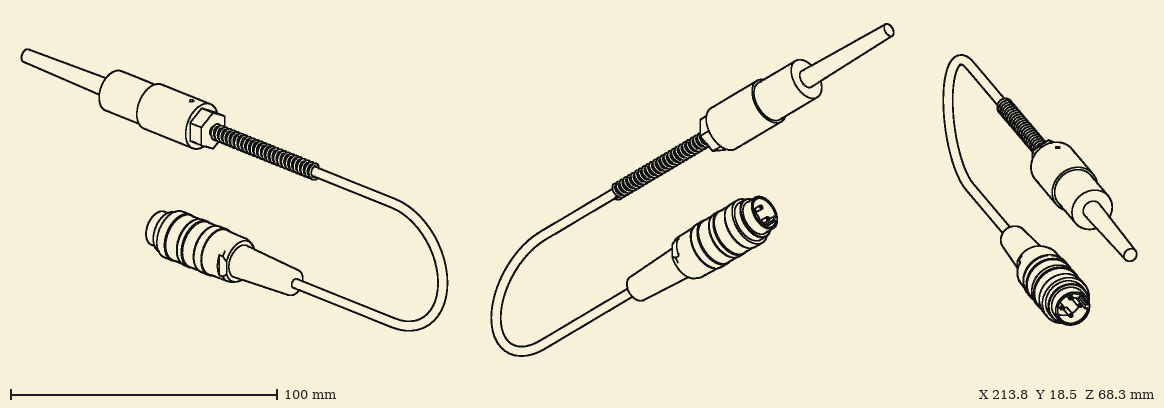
import cadquery as cq
import math

AXIS_SPACING = 50.0
PROBE_Z = AXIS_SPACING / 2
PLUG_Z = -AXIS_SPACING / 2
OVERALL_LENGTH = 213.8

TIP_FRONT_DIA = 5.1
TIP_REAR_DIA = 7.0
TIP_LENGTH = 44.5

GRIP_DIA = 16.0
GRIP_LENGTH = 20.0
BARREL_DIA = 18.0
BARREL_LENGTH = 24.8
SCREW_HOLE_DIA = 1.5
SCREW_HOLE_DEPTH = 3.2
SCREW_HOLE_TO_BARREL_END = 5.1

NUT_ACROSS_FLATS = 13.0
NUT_LENGTH = 5.8

CABLE_DIA = 3.6

WIRE_DIA = 1.0
SPRING_OUTER_DIA = 6.2
SPRING_PITCH = 1.99
SPRING_TURNS = 26

PLUG_START = 67.1
NOSE_DIA = 13.5
NOSE_BORE_DIA = 12.0
NOSE_BORE_DEPTH = 7.7
NOSE_LENGTH = 4.7
CORE_DIA = 16.0
CORE_LIP_LENGTH = 3.2
CORE_LIP_CHAMFER = 0.2
COLLAR_FRONT_DIA = 18.0
COLLAR_REAR_DIA = 17.5
COLLAR_LENGTH = 11.5
COLLAR_CHAMFER_LENGTH = 2.0
COLLAR_CHAMFER_HEIGHT = 0.6
FLAT_SPACING = 15.5
FLAT_LENGTH = 3.6

PIN_COUNT = 4
PIN_DIA = 1.5
PIN_TIP_CHAMFER = 0.32
PIN_CIRCLE_DIA = 7.0
PIN_RECESS = 1.5

KEY_WIDTH = 1.5
KEY_HEIGHT = 1.0

RING_DIA = 18.5
RING_LENGTH = 22.5
BAND_WIDTH = 6.5
BAND_TAPER = 0.5
BAND_DEPTH = 0.2
BAND_OFFSETS = (3.8, 12.5)

BOOT_FRONT_DIA = 12.8
BOOT_REAR_DIA = 10.0
BOOT_LENGTH = 27.8
BOOT_FILLET = 1.0

barrel_start = TIP_LENGTH + GRIP_LENGTH
barrel_end = barrel_start + BARREL_LENGTH
nut_end = barrel_end + NUT_LENGTH
bend_radius = AXIS_SPACING / 2
bend_start = OVERALL_LENGTH - bend_radius - CABLE_DIA / 2
core_start = PLUG_START + NOSE_LENGTH
ring_start = core_start + CORE_LIP_LENGTH
ring_end = ring_start + RING_LENGTH
collar_end = ring_end + COLLAR_LENGTH
boot_end = collar_end + BOOT_LENGTH


def rod(start, length, diameter, z):
    """Solid cylinder along +X."""
    return cq.Workplane("YZ", origin=(start, 0, z)).circle(diameter / 2).extrude(length)


def turned(profile, z):
    """Solid of revolution about an X axis at height z, from (x, radius) points."""
    return (
        cq.Workplane("XZ", origin=(0, 0, z))
        .polyline(profile)
        .close()
        .revolve(360, (0, 0, 0), (1, 0, 0))
    )


def make_tip():
    return turned(
        [(0, 0), (0, TIP_FRONT_DIA / 2), (TIP_LENGTH, TIP_REAR_DIA / 2), (TIP_LENGTH, 0)],
        PROBE_Z,
    )


def make_housing():
    grip = rod(TIP_LENGTH, GRIP_LENGTH, GRIP_DIA, PROBE_Z)
    barrel = rod(barrel_start, BARREL_LENGTH, BARREL_DIA, PROBE_Z)
    screw_hole = (
        cq.Workplane("XY", origin=(barrel_end - SCREW_HOLE_TO_BARREL_END, 0, PROBE_Z + BARREL_DIA / 2))
        .circle(SCREW_HOLE_DIA / 2)
        .extrude(-SCREW_HOLE_DEPTH)
    )
    return grip.union(barrel).cut(screw_hole)


def make_nut():
    across_corners = NUT_ACROSS_FLATS / math.cos(math.pi / 6)
    return (
        cq.Workplane("YZ", origin=(barrel_end, 0, PROBE_Z))
        .transformed(rotate=(0, 0, 90))
        .polygon(6, across_corners)
        .extrude(NUT_LENGTH)
    )


def make_spring():
    coil_radius = (SPRING_OUTER_DIA - WIRE_DIA) / 2
    coil_start = nut_end + WIRE_DIA / 2
    helix = cq.Wire.makeHelix(SPRING_PITCH, SPRING_PITCH * SPRING_TURNS, coil_radius)
    return (
        cq.Workplane("XZ", origin=(coil_radius, 0, 0))
        .circle(WIRE_DIA / 2)
        .sweep(cq.Workplane(obj=helix), isFrenet=True)
        .rotate((0, 0, 0), (0, 1, 0), 90)
        .translate((coil_start, 0, PROBE_Z))
    )


def make_cable():
    path = (
        cq.Workplane("XZ")
        .moveTo(nut_end, PROBE_Z)
        .lineTo(bend_start, PROBE_Z)
        .threePointArc((bend_start + bend_radius, 0), (bend_start, PLUG_Z))
        .lineTo(boot_end, PLUG_Z)
    )
    return cq.Workplane("YZ", origin=(nut_end, 0, PROBE_Z)).circle(CABLE_DIA / 2).sweep(path)


def make_pin(angle):
    """Contact pin with a chamfered tip, rising from the floor of the nose bore."""
    pin = rod(PLUG_START + PIN_RECESS, NOSE_BORE_DEPTH - PIN_RECESS, PIN_DIA, PLUG_Z)
    pin = pin.faces("<X").chamfer(PIN_TIP_CHAMFER)
    pin_circle_radius = PIN_CIRCLE_DIA / 2
    return pin.translate((0, pin_circle_radius * math.cos(angle), pin_circle_radius * math.sin(angle)))


def make_bore_key():
    """Straight key reaching from the nose wall into the bore."""
    wall_radius = (NOSE_DIA + NOSE_BORE_DIA) / 4
    key_tip_radius = NOSE_BORE_DIA / 2 - KEY_HEIGHT
    return (
        cq.Workplane("XY")
        .box(NOSE_BORE_DEPTH, wall_radius - key_tip_radius, KEY_WIDTH, centered=(False, False, True))
        .translate((PLUG_START, -wall_radius, PLUG_Z))
    )


def make_plug_shell():
    shell = turned(
        [
            (PLUG_START, 0),
            (PLUG_START, NOSE_DIA / 2),
            (core_start, NOSE_DIA / 2),
            (core_start, CORE_DIA / 2 - CORE_LIP_CHAMFER),
            (core_start + CORE_LIP_CHAMFER, CORE_DIA / 2),
            (ring_end, CORE_DIA / 2),
            (ring_end, COLLAR_FRONT_DIA / 2),
            (collar_end - COLLAR_CHAMFER_LENGTH, COLLAR_REAR_DIA / 2),
            (collar_end, COLLAR_REAR_DIA / 2 - COLLAR_CHAMFER_HEIGHT),
            (collar_end, 0),
        ],
        PLUG_Z,
    )
    shell = shell.cut(rod(PLUG_START, NOSE_BORE_DEPTH, NOSE_BORE_DIA, PLUG_Z))
    shell = shell.union(make_bore_key())
    for index in range(PIN_COUNT):
        shell = shell.union(make_pin(2 * math.pi * index / PIN_COUNT))
    for side in (-1, 1):
        flat_cut = cq.Workplane("XY").box(FLAT_LENGTH, RING_DIA, RING_DIA).translate(
            (collar_end - FLAT_LENGTH / 2, side * (FLAT_SPACING + RING_DIA) / 2, PLUG_Z)
        )
        shell = shell.cut(flat_cut)
    return shell


def make_coupling_ring():
    """Sleeve around the plug core with shallow recessed bands that have tapered ends."""
    profile = [(ring_start, CORE_DIA / 2), (ring_start, RING_DIA / 2)]
    band_radius = RING_DIA / 2 - BAND_DEPTH
    for offset in BAND_OFFSETS:
        band_start = ring_start + offset
        band_end = band_start + BAND_WIDTH
        profile += [
            (band_start, RING_DIA / 2),
            (band_start + BAND_TAPER, band_radius),
            (band_end - BAND_TAPER, band_radius),
            (band_end, RING_DIA / 2),
        ]
    profile += [(ring_end, RING_DIA / 2), (ring_end, CORE_DIA / 2)]
    return turned(profile, PLUG_Z)


def make_boot():
    boot = turned(
        [
            (collar_end, 0),
            (collar_end, BOOT_FRONT_DIA / 2),
            (boot_end, BOOT_REAR_DIA / 2),
            (boot_end, 0),
        ],
        PLUG_Z,
    )
    return boot.faces(">X").edges().fillet(BOOT_FILLET)


result = cq.Compound.makeCompound(
    [
        make_tip().val(),
        make_housing().val(),
        make_nut().val(),
        make_spring().val(),
        make_cable().val(),
        make_plug_shell().val(),
        make_coupling_ring().val(),
        make_boot().val(),
    ]
)